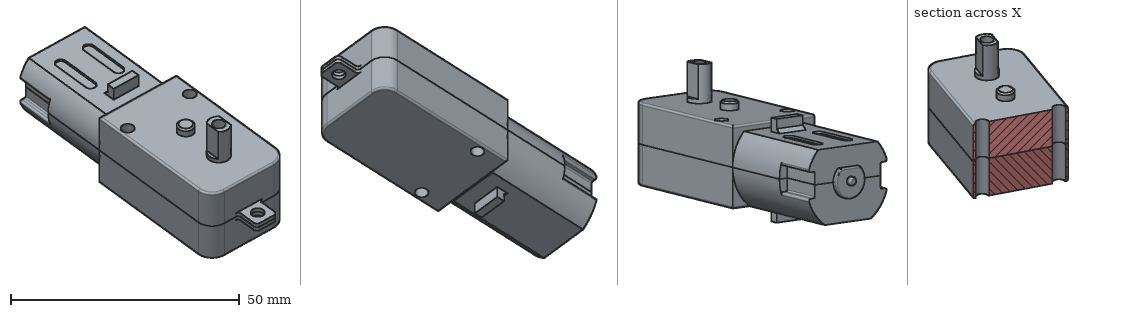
import cadquery as cq
import math


box_length = 37.0
box_width = 22.4
box_half_height = 9.3
box_corner_radius = 4.0
box_edge_fillet = 0.5

sleeve_length = 27.0
sleeve_radius = box_width / 2
sleeve_top = 7.7

slot_length = 12.5
slot_width = 2.7
slot_depth = 0.5
slot_offset_y = 4.0
slot_start = 4.7

pocket_length = 10.0
pocket_half_height = 2.95
pocket_floor_y = 9.0
pocket_floor_fillet = 0.35
pocket_mouth_fillet = 0.5

clip_gap = 3.9
clip_thickness = 2.0
clip_width = 7.2
clip_top = 10.8
clip_bottom = -12.3
gusset_length = 1.1
gusset_height = 0.9

hole_diameter = 3.0
screw_x = 7.0
screw_y = 9.0
tab_length = 6.0
tab_width = 6.0
tab_half_thickness = 1.0
tab_corner_radius = 1.0
tab_root_radius = 0.8
tab_hole_to_end = 3.0

post_x = 16.0
post_diameter = 4.0
post_height = 1.95
post_chamfer = 0.4

shaft_x = 27.0
shaft_diameter = 5.4
shaft_top = 18.0
shaft_flat_width = 3.7
shaft_flat_start = 10.3
shaft_bore_diameter = 3.0

boss_diameter = 8.0
boss_length = 1.0
boss_flat_z = 3.0
boss_fillet = 0.3
axle_diameter = 2.0
axle_length = 1.0
axle_fillet = 0.5

sleeve_end = -sleeve_length
box_end = box_length
pocket_end = sleeve_end + pocket_length
tab_end = box_end + tab_length
clip_back = -clip_gap
clip_front = clip_back - clip_thickness


def block(x0, x1, y0, y1, z0, z1):
    """Box between opposite corners; the two Y values may come in either order."""
    corner = (x0, min(y0, y1), z0)
    return cq.Workplane("XY").box(x1 - x0, abs(y1 - y0), z1 - z0, centered=False).translate(corner)


def gearbox():
    body = block(0, box_length, -box_width / 2, box_width / 2, -box_half_height, box_half_height)
    body = body.edges("|Z and >X").fillet(box_corner_radius)
    return body.faces("<Z or >Z").edges().fillet(box_edge_fillet)


def flank_pocket(side):
    """Pocket with rounded floor corners; side is -1 or 1 along Y."""
    pocket = block(
        sleeve_end, pocket_end,
        side * pocket_floor_y, side * box_width,
        -pocket_half_height, pocket_half_height,
    )
    floor_side = "<Y" if side > 0 else ">Y"
    return pocket.faces(floor_side).edges("|X").fillet(pocket_floor_fillet)


def sleeve():
    bar = cq.Workplane("YZ").circle(sleeve_radius).extrude(sleeve_end)
    band = block(sleeve_end, 0, -sleeve_radius, sleeve_radius, -box_half_height, sleeve_top)
    body = bar.intersect(band)
    for side in (-1, 1):
        body = body.cut(flank_pocket(side))
    lip_inner_y = (pocket_floor_y + sleeve_radius) / 2
    for side in (-1, 1):
        near = (sleeve_end, side * lip_inner_y, -sleeve_top / 2)
        far = (pocket_end, side * box_width, sleeve_top / 2)
        lips = cq.selectors.BoxSelector(near, far)
        body = body.edges("|X").edges(lips).fillet(pocket_mouth_fillet)
    return body


def clip(surface_z, tip_z):
    """Upright strap clip with a sloped gusset at its foot."""
    gusset_z = surface_z + math.copysign(gusset_height, tip_z)
    profile = [
        (clip_back, 0),
        (clip_back, tip_z),
        (clip_front, tip_z),
        (clip_front, gusset_z),
        (clip_front - gusset_length, surface_z),
        (clip_front - gusset_length, 0),
    ]
    return cq.Workplane("XZ").polyline(profile).close().extrude(clip_width / 2, both=True)


def tab_root_flare(side):
    """Concave flare where one tab edge meets the gearbox end; side is -1 or 1 along Y."""
    edge_y = side * tab_width / 2
    outline = (
        cq.Workplane("XY")
        .moveTo(box_end, edge_y)
        .lineTo(box_end + tab_root_radius, edge_y)
        .radiusArc((box_end, edge_y + side * tab_root_radius), side * tab_root_radius)
        .close()
    )
    return outline.extrude(tab_half_thickness, both=True)


def mounting_tab():
    half_width = tab_width / 2
    tab = block(0, tab_end, -half_width, half_width, -tab_half_thickness, tab_half_thickness)
    tab = tab.edges("|Z and >X").fillet(tab_corner_radius)
    hole = cq.Workplane("XY").center(tab_end - tab_hole_to_end, 0).circle(hole_diameter / 2)
    tab = tab.cut(hole.extrude(tab_half_thickness, both=True))
    for side in (-1, 1):
        tab = tab.union(tab_root_flare(side))
    return tab


def locating_post():
    post = cq.Workplane("XY", origin=(post_x, 0, 0)).circle(post_diameter / 2)
    return post.extrude(box_half_height + post_height).faces(">Z").chamfer(post_chamfer)


def cooling_slots():
    slot_x = sleeve_end + slot_start + slot_length / 2
    places = [(slot_x, -slot_offset_y), (slot_x, slot_offset_y)]
    slots = cq.Workplane("XY", origin=(0, 0, sleeve_top)).pushPoints(places)
    return slots.slot2D(slot_length, slot_width).extrude(-slot_depth)


def screw_holes():
    holes = cq.Workplane("XY").pushPoints([(screw_x, -screw_y), (screw_x, screw_y)])
    return holes.circle(hole_diameter / 2).extrude(box_half_height, both=True)


def housing():
    body = gearbox().union(sleeve())
    body = body.union(clip(sleeve_top, clip_top)).union(clip(-box_half_height, clip_bottom))
    body = body.union(mounting_tab())
    body = body.union(locating_post())
    return body.cut(cooling_slots()).cut(screw_holes())


def output_shaft():
    """Hollow shaft standing on the gearbox, with two flats."""
    radius = shaft_diameter / 2
    base = cq.Workplane("XY", origin=(shaft_x, 0, box_half_height))
    shaft = base.circle(radius).circle(shaft_bore_diameter / 2).extrude(shaft_top - box_half_height)
    for side in (-1, 1):
        offcut = block(
            shaft_x - radius, shaft_x + radius,
            side * shaft_flat_width / 2, side * radius,
            shaft_flat_start, shaft_top,
        )
        shaft = shaft.cut(offcut)
    return shaft


def motor_end():
    """Flat-topped motor boss with the axle tip."""
    boss_radius = boss_diameter / 2
    boss = cq.Workplane("YZ", origin=(sleeve_end, 0, 0)).circle(boss_radius).extrude(-boss_length)
    boss = boss.intersect(
        block(sleeve_end - boss_length, sleeve_end, -boss_radius, boss_radius, -boss_radius, boss_flat_z)
    )
    boss = boss.faces("<X").edges().fillet(boss_fillet)
    axle = cq.Workplane("YZ", origin=(sleeve_end, 0, 0)).circle(axle_diameter / 2)
    axle = axle.extrude(-boss_length - axle_length).faces("<X").edges().fillet(axle_fillet)
    return boss.union(axle)


whole_housing = housing()
upper_space = block(sleeve_end, tab_end, -box_width, box_width, 0, shaft_top)
upper_shell = whole_housing.intersect(upper_space)
lower_shell = whole_housing.cut(upper_space)

result = cq.Compound.makeCompound(
    [upper_shell.val(), lower_shell.val(), output_shaft().val(), motor_end().val()]
)